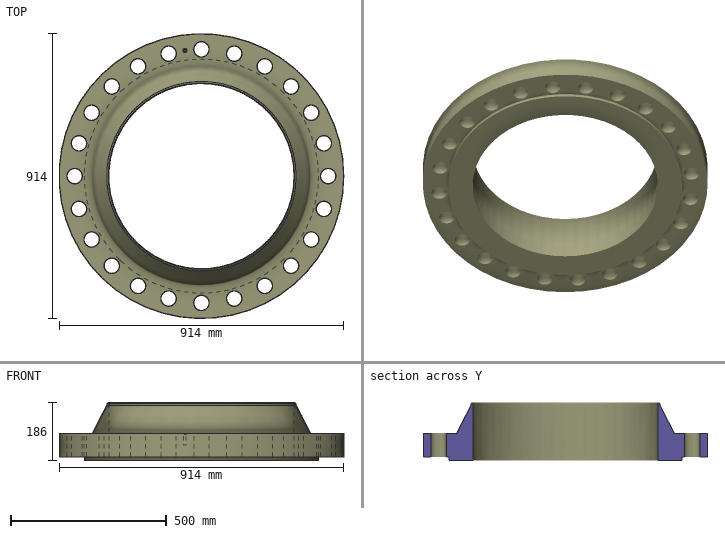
import cadquery as cq
import math

flange_diameter = 914.0
flange_thickness = 76.0

face_diameter = 751.0
face_height = 11.0

overall_height = 186.0
bore_diameter = 594.0
neck_base_diameter = 701.0
neck_fillet_radius = 4.0

weld_end_diameter = 608.0
weld_end_height = 8.0
weld_bevel_height = 3.0
weld_land_width = 2.0

bolt_count = 24
bolt_circle_diameter = 814.0
bolt_hole_diameter = 48.0

small_hole_diameter = 7.0
small_hole_depth = 37.0
countersink_diameter = 13.0

flange_top = face_height + flange_thickness
weld_end_bottom = overall_height - weld_end_height
weld_bevel_bottom = overall_height - weld_bevel_height
bore_radius = bore_diameter / 2
bolt_circle_radius = bolt_circle_diameter / 2
bolt_pitch_angle = 360 / bolt_count


def flange_body():
    """Revolve the half section of face, plate and neck about Z."""
    section = (
        cq.Workplane("XZ")
        .moveTo(bore_radius, 0)
        .lineTo(face_diameter / 2, 0)
        .lineTo(face_diameter / 2, face_height)
        .lineTo(flange_diameter / 2, face_height)
        .lineTo(flange_diameter / 2, flange_top)
        .lineTo(neck_base_diameter / 2, flange_top)
        .lineTo(weld_end_diameter / 2, weld_end_bottom)
        .lineTo(weld_end_diameter / 2, weld_bevel_bottom)
        .lineTo(bore_radius + weld_land_width, overall_height)
        .lineTo(bore_radius, overall_height)
        .close()
    )
    return section.revolve(360, (0, 0, 0), (0, 1, 0))


def fillet_neck_root(body):
    """Round the inside corner where the neck meets the top of the plate."""
    upward_planes = body.faces("+Z")
    plate_top = upward_planes.faces("<Z")
    neck_root = plate_top.edges(cq.selectors.RadiusNthSelector(0))
    return neck_root.fillet(neck_fillet_radius)


def drill_bolt_holes(body):
    cutters = (
        cq.Workplane("XY")
        .polarArray(bolt_circle_radius, 0, 360, bolt_count)
        .circle(bolt_hole_diameter / 2)
        .extrude(flange_top)
    )
    return body.cut(cutters)


def drill_small_hole(body):
    """Drill from the plate top, half a pitch past the +Y bolt hole, with a 45 degree countersink."""
    angle = math.radians(90 + bolt_pitch_angle / 2)
    center = cq.Vector(
        bolt_circle_radius * math.cos(angle),
        bolt_circle_radius * math.sin(angle),
        flange_top,
    )
    down = cq.Vector(0, 0, -1)
    hole_radius = small_hole_diameter / 2
    countersink_radius = countersink_diameter / 2
    countersink_depth = countersink_radius - hole_radius
    drill = cq.Solid.makeCylinder(hole_radius, small_hole_depth, center, down)
    countersink = cq.Solid.makeCone(countersink_radius, hole_radius, countersink_depth, center, down)
    return body.cut(cq.Workplane(drill)).cut(cq.Workplane(countersink))


body = fillet_neck_root(flange_body())
result = drill_small_hole(drill_bolt_holes(body))